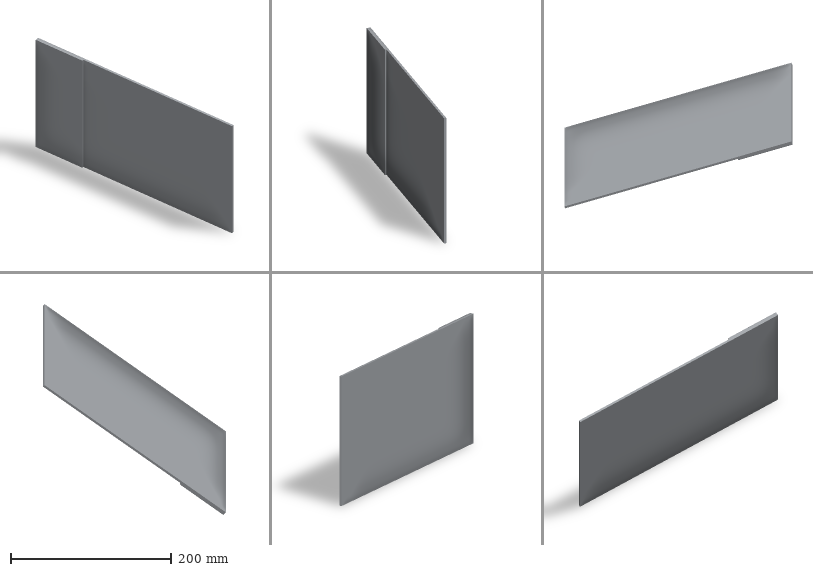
import cadquery as cq

length = 300.0
height = 170.0
thick_side = 5.0
thin_side = 3.0
thin_face_start = 72.3
fillet_radius = 0.5

back = thick_side / 2
front = -thick_side / 2
step_face = back - thin_side
left = -length / 2
right = length / 2
fillet_end_x = left + thin_face_start
step_x = fillet_end_x - fillet_radius

result = (
    cq.Workplane("XY")
    .moveTo(left, back)
    .lineTo(left, front)
    .lineTo(step_x, front)
    .lineTo(step_x, step_face - fillet_radius)
    .radiusArc((fillet_end_x, step_face), fillet_radius)
    .lineTo(right, step_face)
    .lineTo(right, back)
    .close()
    .extrude(height / 2, both=True)
)